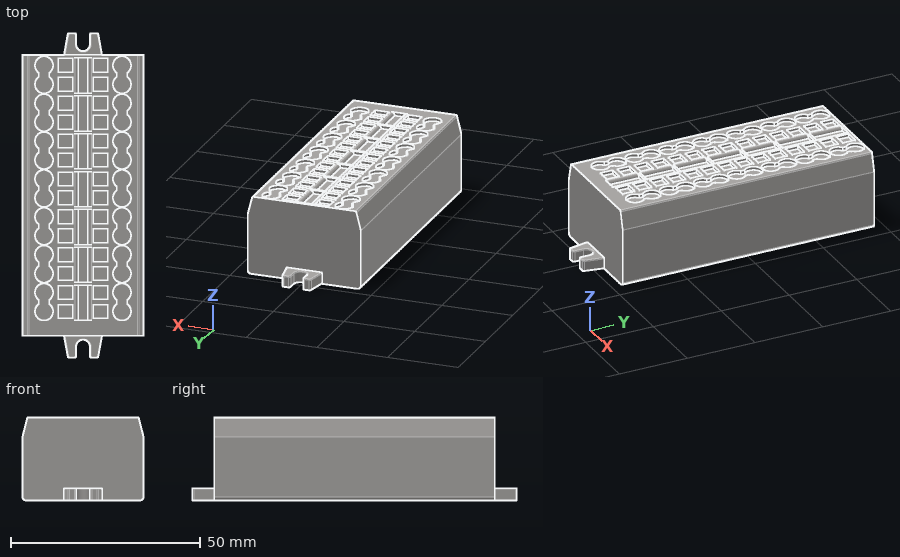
import cadquery as cq

body_width = 32.05
body_length = 74.2
body_height = 22.0
top_width = 29.4
shoulder_height = 16.8
top_edge_radius = 0.4
bottom_edge_radius = 1.0

overall_length = 85.8
lug_height = 3.3
lug_root_width = 10.1
lug_tip_width = 8.0
lug_slot_width = 3.6
lug_slot_depth = 4.75
lug_tip_radius = 0.5
lug_edge_radius = 0.25

pair_count = 7
pole_pitch = 5.0
pair_pitch = 2 * pole_pitch
first_pair_y = 31.85
pocket_depth = 1.0

wire_pocket_x = 10.3
wire_pocket_diameter = 4.8
wire_neck_width = 2.8

release_pocket_x = 4.65
release_pocket_width = 3.9
release_pocket_length = 3.65

marker_width = 4.4
marker_length = 9.3
marker_shift_y = -0.2
marker_depth = 1.0
marker_edge_radius = 0.9

pair_centres = [first_pair_y - i * pair_pitch for i in range(pair_count)]
pole_centres = [y + side * pole_pitch / 2 for y in pair_centres for side in (1, -1)]


def make_housing():
    """Block along Y with sloped shoulders and rounded long edges."""
    half = body_width / 2
    half_top = top_width / 2
    outline = [
        (-half, 0),
        (half, 0),
        (half, shoulder_height),
        (half_top, body_height),
        (-half_top, body_height),
        (-half, shoulder_height),
    ]
    block = cq.Workplane("XZ").polyline(outline).close().extrude(body_length / 2, both=True)
    block = block.faces("<Z").edges("|Y").fillet(bottom_edge_radius)
    return block.faces(">Z").edges("|Y").fillet(top_edge_radius)


def make_lug():
    """Tapered fork on the +Y end with an open round-bottomed slot and softened rims."""
    root_y = body_length / 2
    tip_y = overall_length / 2
    half_slot = lug_slot_width / 2
    slot_bottom_y = tip_y - lug_slot_depth
    slot_arc_y = slot_bottom_y + half_slot
    lug = (
        cq.Workplane("XY")
        .moveTo(-lug_root_width / 2, root_y)
        .lineTo(lug_root_width / 2, root_y)
        .lineTo(lug_tip_width / 2, tip_y)
        .lineTo(half_slot, tip_y)
        .lineTo(half_slot, slot_arc_y)
        .threePointArc((0, slot_bottom_y), (-half_slot, slot_arc_y))
        .lineTo(-half_slot, tip_y)
        .lineTo(-lug_tip_width / 2, tip_y)
        .close()
        .extrude(lug_height)
        .faces(">Y")
        .edges("|Z")
        .fillet(lug_tip_radius)
    )
    free_rims = lug.faces("<Z or >Z").edges("not <Y")
    return free_rims.fillet(lug_edge_radius)


def top_plane():
    """Workplane on the top face."""
    return cq.Workplane("XY").workplane(offset=body_height)


def make_wire_pockets():
    """Pairs of round pockets joined by a narrow neck, in a column on each side."""
    columns = (-wire_pocket_x, wire_pocket_x)
    circle_centres = [(x, y) for x in columns for y in pole_centres]
    neck_centres = [(x, y) for x in columns for y in pair_centres]
    circles = top_plane().pushPoints(circle_centres).circle(wire_pocket_diameter / 2).extrude(-pocket_depth)
    necks = top_plane().pushPoints(neck_centres).rect(wire_neck_width, pole_pitch).extrude(-pocket_depth)
    return circles.union(necks)


def make_release_pockets():
    """Rectangular pockets beside the marker grooves, one per pole and side."""
    centres = [(x, y) for x in (-release_pocket_x, release_pocket_x) for y in pole_centres]
    return (
        top_plane()
        .pushPoints(centres)
        .rect(release_pocket_width, release_pocket_length)
        .extrude(-pocket_depth)
    )


def make_marker_grooves():
    """Central grooves, one per pair, whose long walls bulge in as quarter rounds."""
    half = marker_width / 2
    half_floor = half - marker_edge_radius
    floor_z = body_height - marker_depth
    round_z = body_height - marker_edge_radius
    profile = (
        cq.Workplane("XZ")
        .moveTo(-half, body_height)
        .radiusArc((-half_floor, round_z), marker_edge_radius)
        .lineTo(-half_floor, floor_z)
        .lineTo(half_floor, floor_z)
        .lineTo(half_floor, round_z)
        .radiusArc((half, body_height), marker_edge_radius)
        .close()
    )
    groove = profile.extrude(marker_length / 2, both=True)
    grooves = cq.Workplane("XY")
    for y in pair_centres:
        grooves = grooves.add(groove.translate((0, y + marker_shift_y, 0)))
    return grooves.combine()


lug = make_lug()
result = make_housing().union(lug).union(lug.mirror("XZ"))
result = result.cut(make_wire_pockets()).cut(make_release_pockets()).cut(make_marker_grooves())